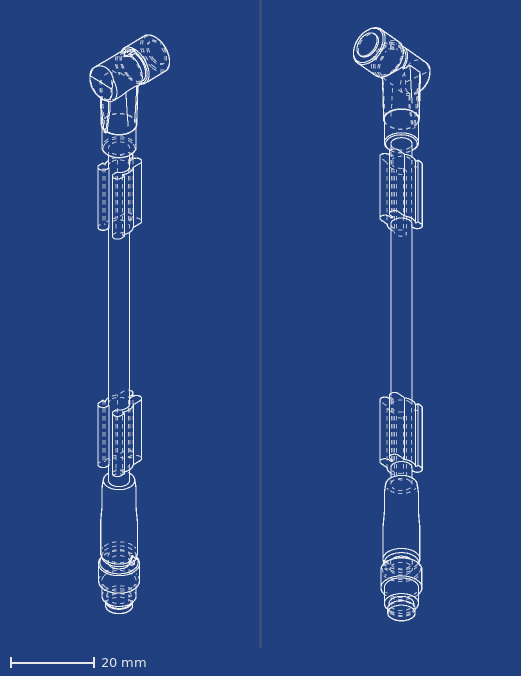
import cadquery as cq
import math

TOTAL_HEIGHT = 165.1
CABLE_DIAMETER = 5.1
NUT_RADIUS = 5.0

HEAD_Z = TOTAL_HEIGHT - NUT_RADIUS
HEAD_RADIUS = 4.6
HEAD_NECK_RADIUS = 4.1
SOCKET_RADIUS = 3.1
SOCKET_Y = 13.0
HEAD_NUT_BACK_Y = 12.5
HEAD_NUT_FRONT_Y = 5.0
HEAD_NECK_Y = 3.3
HEAD_RIM_Y = -5.3
HEAD_END_Y = -6.1
HEAD_END_RADIUS = 3.8
EDGE_BEVEL = 0.3

FACET_LOW_Z = 161.1
FACET_MID_Z = 162.6
FACET_MID_Y = -5.6
FACET_TOP_Y = -4.3

COLLAR_BOTTOM_Z = 138.0
STEM_BOTTOM_Z = 145.3
STEM_TOP_Z = 159.1
COLLAR_RADIUS = 4.1
STEM_BOTTOM_RADIUS = 4.3
STEM_TOP_RADIUS = 4.6
STEM_FLAT_WIDTH = 8.5

RIB_WIDTH = 2.5
RIB_TIP_WIDTH = 0.5
RIB_SHOULDER_Z = 152.5
RIB_FACE_Y = -4.8

PLUG_NECK_RADIUS = 2.6
BARREL_RADIUS = 4.1
TIP_RADIUS = 3.3
TIP_GROOVE_RADIUS = 3.0
GRIP_TOP_RADIUS = 3.8
GRIP_UPPER_RADIUS = 4.1
GRIP_RADIUS = 4.5
TIP_LIP_Z = 1.3
BARREL_BOTTOM_Z = 2.8
PLUG_NUT_BOTTOM_Z = 7.5
PLUG_NUT_TOP_Z = 13.0
GRIP_BOTTOM_Z = 14.9
GRIP_BEVEL_Z = 15.8
GRIP_TAPER_START_Z = 25.3
GRIP_TAPER_END_Z = 29.7
GRIP_UPPER_TOP_Z = 35.3
GRIP_SHOULDER_Z = 36.8
GRIP_TOP_Z = 37.8

ARROW_WIDTH = 2.3
ARROW_LENGTH = 1.7
ARROW_STEM_WIDTH = 0.8
ARROW_HEIGHT = 0.3

CLIP_LENGTH = 18.2
CLIP_BOTTOMS_Z = (42.8, 114.4)
CLIP_RADIUS = 3.5
CLIP_OPENING = 2.6
LIP_THICKNESS = 2.5
FRONT_LIP_X = 2.5
FRONT_LIP_ROOT_Y = -1.8
FRONT_LIP_END_Y = -3.0
BACK_LIP_X = 1.5
BACK_LIP_ROOT_Y = 1.7
BACK_LIP_END_Y = 4.5


def turned(stations):
    """Solid of revolution about Z from (radius, z) stations."""
    outline = [(0, stations[0][1])] + stations + [(0, stations[-1][1])]
    return cq.Workplane("XZ").polyline(outline).close().revolve(360, (0, 0), (0, 1))


def angled_head():
    """Nut, neck and head of the angled plug, turned about an axis along Y."""
    outline = [
        (SOCKET_RADIUS, SOCKET_Y),
        (SOCKET_RADIUS, HEAD_NUT_BACK_Y),
        (NUT_RADIUS - EDGE_BEVEL, HEAD_NUT_BACK_Y),
        (NUT_RADIUS, HEAD_NUT_BACK_Y - EDGE_BEVEL),
        (NUT_RADIUS, HEAD_NUT_FRONT_Y + EDGE_BEVEL),
        (NUT_RADIUS - EDGE_BEVEL, HEAD_NUT_FRONT_Y),
        (HEAD_NECK_RADIUS, HEAD_NUT_FRONT_Y),
        (HEAD_NECK_RADIUS, HEAD_NECK_Y),
        (HEAD_RADIUS, HEAD_NECK_Y),
        (HEAD_RADIUS, HEAD_RIM_Y),
        (HEAD_END_RADIUS, HEAD_END_Y),
    ]
    head = turned(outline).rotate((0, 0, 0), (1, 0, 0), -90).translate((0, 0, HEAD_Z))

    facet_waste = (
        cq.Workplane("YZ")
        .polyline([
            (HEAD_END_Y, FACET_LOW_Z),
            (FACET_MID_Y, FACET_MID_Z),
            (FACET_TOP_Y, TOTAL_HEIGHT),
            (HEAD_END_Y, TOTAL_HEIGHT),
        ])
        .close()
        .extrude(NUT_RADIUS, both=True)
    )
    return head.cut(facet_waste)


def stem():
    """Collar and widening stem of the angled plug, with side flats and a front rib."""
    body = turned([
        (COLLAR_RADIUS - EDGE_BEVEL, COLLAR_BOTTOM_Z),
        (COLLAR_RADIUS, COLLAR_BOTTOM_Z + EDGE_BEVEL),
        (COLLAR_RADIUS, STEM_BOTTOM_Z),
        (STEM_BOTTOM_RADIUS, STEM_BOTTOM_Z),
        (STEM_TOP_RADIUS, STEM_TOP_Z),
    ])
    flats = cq.Workplane("XY").box(STEM_FLAT_WIDTH, 2 * NUT_RADIUS, 2 * TOTAL_HEIGHT)
    rib = (
        cq.Workplane("XZ")
        .polyline([
            (-RIB_TIP_WIDTH / 2, STEM_BOTTOM_Z),
            (RIB_TIP_WIDTH / 2, STEM_BOTTOM_Z),
            (RIB_WIDTH / 2, RIB_SHOULDER_Z),
            (RIB_WIDTH / 2, STEM_TOP_Z),
            (-RIB_WIDTH / 2, STEM_TOP_Z),
            (-RIB_WIDTH / 2, RIB_SHOULDER_Z),
        ])
        .close()
        .extrude(-RIB_FACE_Y)
    )
    return body.intersect(flats).union(rib)


def straight_plug():
    """Tip, barrel, nut, neck and grip of the straight plug."""
    return turned([
        (TIP_RADIUS, 0),
        (TIP_RADIUS, TIP_LIP_Z),
        (TIP_GROOVE_RADIUS, TIP_LIP_Z),
        (TIP_GROOVE_RADIUS, BARREL_BOTTOM_Z),
        (BARREL_RADIUS, BARREL_BOTTOM_Z),
        (BARREL_RADIUS, PLUG_NUT_BOTTOM_Z),
        (NUT_RADIUS, PLUG_NUT_BOTTOM_Z),
        (NUT_RADIUS, PLUG_NUT_TOP_Z - EDGE_BEVEL),
        (NUT_RADIUS - EDGE_BEVEL, PLUG_NUT_TOP_Z),
        (PLUG_NECK_RADIUS, PLUG_NUT_TOP_Z),
        (PLUG_NECK_RADIUS, GRIP_BOTTOM_Z),
        (GRIP_RADIUS - EDGE_BEVEL, GRIP_BOTTOM_Z),
        (GRIP_RADIUS, GRIP_BEVEL_Z),
        (GRIP_RADIUS, GRIP_TAPER_START_Z),
        (GRIP_UPPER_RADIUS, GRIP_TAPER_END_Z),
        (GRIP_UPPER_RADIUS, GRIP_UPPER_TOP_Z),
        (GRIP_UPPER_RADIUS - EDGE_BEVEL / 2, GRIP_SHOULDER_Z),
        (GRIP_TOP_RADIUS, GRIP_TOP_Z),
    ])


def arrow(tail_length, height):
    """Arrow on the XY plane pointing to -Y, its head starting at the origin."""
    return (
        cq.Workplane("XY")
        .polyline([
            (0, -ARROW_LENGTH),
            (ARROW_WIDTH / 2, 0),
            (ARROW_STEM_WIDTH / 2, 0),
            (ARROW_STEM_WIDTH / 2, tail_length),
            (-ARROW_STEM_WIDTH / 2, tail_length),
            (-ARROW_STEM_WIDTH / 2, 0),
            (-ARROW_WIDTH / 2, 0),
        ])
        .close()
        .extrude(height)
    )


def head_arrow():
    """Arrow on top of the head, its tail bridging the neck."""
    neck_length = HEAD_NUT_FRONT_Y - HEAD_NECK_Y
    return arrow(neck_length, HEAD_RADIUS + ARROW_HEIGHT).translate((0, HEAD_NECK_Y, HEAD_Z))


def grip_arrow():
    """Upward arrow on the -X side of the grip, its tail reaching the grip's lower end."""
    upright = (
        arrow(GRIP_BEVEL_Z - GRIP_BOTTOM_Z, GRIP_RADIUS + ARROW_HEIGHT)
        .rotate((0, 0, 0), (1, 0, 0), -90)
        .rotate((0, 0, 0), (0, 0, 1), -90)
    )
    return upright.translate((0, 0, GRIP_BEVEL_Z))


def clip_lip(x, root_y, end_y):
    """Straight lip along the clip, running in Y from its root to a half-round edge."""
    side_x = LIP_THICKNESS / 2
    edge_y = end_y + math.copysign(LIP_THICKNESS / 2, end_y)
    return (
        cq.Workplane("XY")
        .moveTo(x - side_x, root_y)
        .lineTo(x - side_x, end_y)
        .threePointArc((x, edge_y), (x + side_x, end_y))
        .lineTo(x + side_x, root_y)
        .close()
        .extrude(CLIP_LENGTH)
    )


def marker_clip():
    """C-shaped clip open to -Y, with a pair of rounded lips at its front and at its back."""
    clip = cq.Workplane("XY").circle(CLIP_RADIUS).extrude(CLIP_LENGTH)
    opening = (
        cq.Workplane("XY")
        .center(0, -CLIP_RADIUS)
        .rect(CLIP_OPENING, 2 * CLIP_RADIUS)
        .extrude(CLIP_LENGTH)
    )
    clip = clip.cut(opening)
    for side in (-1, 1):
        clip = clip.union(clip_lip(side * FRONT_LIP_X, FRONT_LIP_ROOT_Y, FRONT_LIP_END_Y))
        clip = clip.union(clip_lip(side * BACK_LIP_X, BACK_LIP_ROOT_Y, BACK_LIP_END_Y))
    return clip


cable = (
    cq.Workplane("XY", origin=(0, 0, GRIP_TAPER_END_Z))
    .circle(CABLE_DIAMETER / 2)
    .extrude(STEM_BOTTOM_Z - GRIP_TAPER_END_Z)
)
result = cable.union(straight_plug()).union(stem()).union(angled_head())
result = result.union(head_arrow()).union(grip_arrow())
for bottom_z in CLIP_BOTTOMS_Z:
    result = result.union(marker_clip().translate((0, 0, bottom_z)))